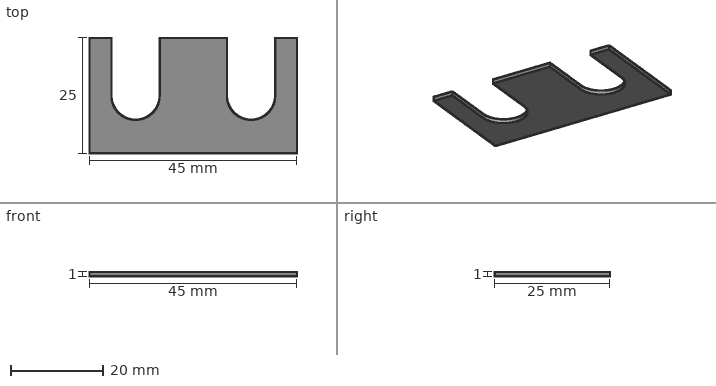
import cadquery as cq

length = 45.0
width = 25.0
thickness = 1.0

slot_width = 10.4
slot_spacing = 25.0
slot_radius = slot_width / 2
slot_straight_depth = width / 2


def open_slot(center_x):
    """Cutter for one slot: straight sides from the +Y edge, then a half-round end."""
    edge_y = width / 2
    round_y = edge_y - slot_straight_depth
    left_x = center_x - slot_radius
    right_x = center_x + slot_radius
    return (
        cq.Workplane("XY")
        .moveTo(left_x, edge_y)
        .lineTo(left_x, round_y)
        .threePointArc((center_x, round_y - slot_radius), (right_x, round_y))
        .lineTo(right_x, edge_y)
        .close()
        .extrude(thickness)
    )


result = cq.Workplane("XY").box(length, width, thickness, centered=(True, True, False))
for side in (-1, 1):
    result = result.cut(open_slot(side * slot_spacing / 2))